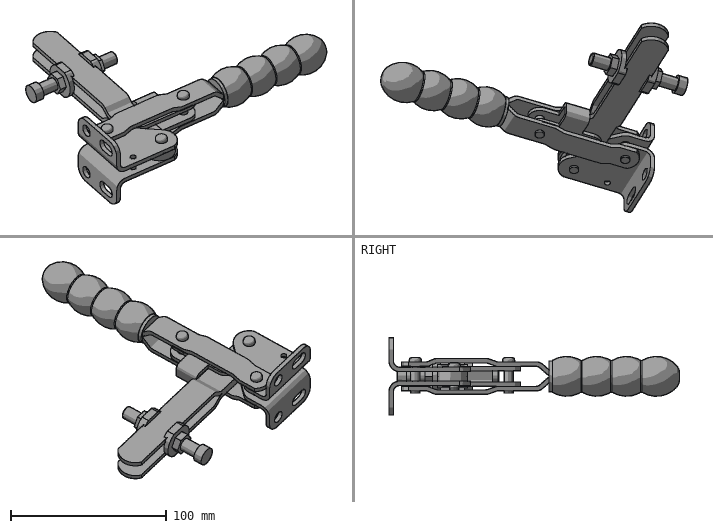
import cadquery as cq
import math


lever_sheet = 3.0
link_sheet = 2.8
base_sheet = 3.0
arm_sheet = 3.0
base_inner = arm_sheet
base_outer = base_inner + base_sheet
link_inner = 3.5
link_outer = link_inner + link_sheet
strap_inner = link_outer
strap_outer = strap_inner + lever_sheet

rivet_r = 3.0
rivet_head_r = 4.0
rivet_head_height = 2.8
rivet_head_round = 1.9
rivet_tail_height = 1.5
lever_pivot = (0, 17.0)
arm_pivot = (25.0, 42.0)
link_pivot = (0, 77.0)
link_arm_pivot = (0, arm_pivot[1])
arm_pin_half_length = 8.6

lever_half_width = 8.2
lever_end_y = 8.0
lever_end_sagitta = 4.5
bulge_height = 2.2
bulge_lower_foot = 24.9
bulge_lower_top = 30.1
bulge_upper_top = 63.2
bulge_upper_foot = 69.5
strap_taper_start = 96.6
strap_taper_length = 7.1
lever_bend_r = 4.7
tang_length = 28.0
grip_start = 102.8
grip_top = 187.0
collar_r = 10.0
collar_length = 2.2
ball_count = 4
ball_r = 12.9
ball_pitch = 19.3
valley_r = 10.3
valley_width = 1.0
grip_top_round = 6.5

base_left = -lever_half_width
base_right = 34.8
base_depth = 50.0
base_half_depth = base_depth / 2
base_bend_r = 4.0
base_corner_r = 7.9
arm_lug_r = 10.3
lever_lug_r = lever_half_width
mount_hole_x = 1.0
mount_slot_x = 22.8
mount_hole_z = 17.0
mount_hole_d = 7.9
mount_slot_length = 13.6
side_hole = (29.0, 17.0)
side_hole_d = 3.7

arm_left = -108.2
arm_right = 34.8
arm_y = 41.0
arm_half_width = 9.5
arm_tip_sagitta = 5.2
arm_pivot_end_sagitta = 6.5
arm_gap_half = 4.5
arm_outer = arm_gap_half + arm_sheet
arm_taper_start = -25.0
arm_taper_end = -19.3
arm_bend_r = 5.2

link_half_width = 7.7
link_stop_x = -20.0
link_stop_top = 66.7
link_bend_r = 2.5

spindle_x = -68.0
spindle_r = 4.3
spindle_top = 70.7
spindle_chamfer = 0.5
foot_bottom = 5.2
foot_top = 11.2
foot_r = 6.0
nut_across_corners = 14.2
nut_offset = 17.5
washer_offset = 12.9
washer_lip_offset = 7.7
washer_r = 11.2
washer_half_height = 10.1


def direction(a, b):
    """Unit vector from point a to point b."""
    length = math.dist(a, b)
    return (b[0] - a[0]) / length, (b[1] - a[1]) / length


def shifted(point, vector, distance):
    return point[0] + vector[0] * distance, point[1] + vector[1] * distance


def left_of(vector):
    return -vector[1], vector[0]


def sheet_face(path, offset, bend_r):
    """One face of a bent sheet: its start, its bends as (start, middle, end), and its end.

    The face lies the given offset to the left of the centre line.
    """
    bends = []
    for before, corner, after in zip(path, path[1:], path[2:]):
        way_in = direction(before, corner)
        way_out = direction(corner, after)
        cross = way_in[0] * way_out[1] - way_in[1] * way_out[0]
        dot = way_in[0] * way_out[0] + way_in[1] * way_out[1]
        turn = math.atan2(cross, dot)
        setback = bend_r * math.tan(abs(turn) / 2)
        centre_side = math.copysign(1, turn)
        centre = shifted(shifted(corner, way_in, -setback), left_of(way_in), centre_side * bend_r)
        to_face = offset - centre_side * bend_r
        bend_start = shifted(centre, left_of(way_in), to_face)
        bend_middle = shifted(centre, direction(centre, corner), abs(to_face))
        bend_end = shifted(centre, left_of(way_out), to_face)
        bends.append((bend_start, bend_middle, bend_end))
    start = shifted(path[0], left_of(direction(path[0], path[1])), offset)
    end = shifted(path[-1], left_of(direction(path[-2], path[-1])), offset)
    return start, bends, end


def bent_strip(plane, path, thickness, bend_r, width):
    """Sheet bent along a centre line, with its width centred on the sketch plane."""
    start, bends, end = sheet_face(path, thickness / 2, bend_r)
    far_start, far_bends, far_end = sheet_face(path, -thickness / 2, bend_r)
    outline = cq.Workplane(plane).moveTo(*start)
    for bend_start, bend_middle, bend_end in bends:
        outline = outline.lineTo(*bend_start).threePointArc(bend_middle, bend_end)
    outline = outline.lineTo(*end).lineTo(*far_end)
    for bend_start, bend_middle, bend_end in reversed(far_bends):
        outline = outline.lineTo(*bend_end).threePointArc(bend_middle, bend_start)
    return outline.lineTo(*far_start).close().extrude(width / 2, both=True)


def with_mirror(half):
    """The half joined to its mirror image below Z = 0."""
    return half.union(half.mirror("XY"))


def z_cylinder(point, radius, bottom, top):
    return cq.Workplane("XY", origin=(0, 0, bottom)).center(*point).circle(radius).extrude(top - bottom)


def y_cylinder(radius, bottom, top):
    """Cylinder on the spindle axis."""
    plane = cq.Workplane("XZ", origin=(spindle_x, bottom, 0))
    return plane.circle(radius).extrude(bottom - top)


def rivet(point, seat):
    """Rivet whose head and tail bear on faces at +seat and -seat."""
    shank = z_cylinder(point, rivet_r, -seat - rivet_tail_height, seat)
    head = z_cylinder(point, rivet_head_r, seat, seat + rivet_head_height)
    return shank.union(head.faces(">Z").edges().fillet(rivet_head_round))


def through_hole(point, radius):
    return z_cylinder(point, radius, -base_half_depth, base_half_depth)


def make_base():
    """Two angle plates, back to back, joined by the lever and arm rivets."""
    plate_z = base_inner + base_sheet / 2
    foot_y = base_sheet / 2
    width = base_right - base_left
    plate_path = [(arm_pivot[1] + arm_lug_r, plate_z), (foot_y, plate_z), (foot_y, base_half_depth)]
    middle = cq.Plane(origin=((base_left + base_right) / 2, 0, 0), xDir=(0, 1, 0), normal=(1, 0, 0))
    plate = bent_strip(middle, plate_path, base_sheet, base_bend_r + base_sheet / 2, width)

    rise = math.atan2(arm_pivot[1] - lever_pivot[1], arm_pivot[0] - lever_pivot[0])
    slope = rise + math.asin((arm_lug_r - lever_lug_r) / math.dist(lever_pivot, arm_pivot))
    tangent_angle = slope + math.pi / 2
    mid_angle = (math.pi + tangent_angle) / 2
    lever_lug_middle = shifted(lever_pivot, (math.cos(mid_angle), math.sin(mid_angle)), lever_lug_r)
    outward = (math.cos(tangent_angle), math.sin(tangent_angle))
    lever_lug_end = shifted(lever_pivot, outward, lever_lug_r)
    arm_lug_start = shifted(arm_pivot, outward, arm_lug_r)
    arm_lug_top = (arm_pivot[0], arm_pivot[1] + arm_lug_r)
    edge_reach = base_right - arm_pivot[0]
    arm_lug_end_y = arm_pivot[1] + math.sqrt(arm_lug_r**2 - edge_reach**2)
    outline = (
        cq.Workplane("XY")
        .moveTo(base_left, 0)
        .lineTo(base_left, lever_pivot[1])
        .threePointArc(lever_lug_middle, lever_lug_end)
        .lineTo(*arm_lug_start)
        .threePointArc(arm_lug_top, (base_right, arm_lug_end_y))
        .lineTo(base_right, 0)
        .close()
        .extrude(base_half_depth)
    )
    plate = plate.intersect(outline)
    plate = plate.edges("|Y").edges(">Z").fillet(base_corner_r)

    mounting = cq.Workplane("XZ").center(0, mount_hole_z)
    holes = mounting.center(mount_hole_x, 0).circle(mount_hole_d / 2).extrude(-base_sheet)
    slots = mounting.center(mount_slot_x, 0).slot2D(mount_slot_length, mount_hole_d).extrude(-base_sheet)
    plate = plate.cut(holes).cut(slots).cut(through_hole(side_hole, side_hole_d / 2))
    rivets = rivet(lever_pivot, strap_outer).union(rivet(arm_pivot, base_outer))
    return with_mirror(plate).union(rivets)


def make_lever():
    """Two mirrored straps that bulge around the link pin and join as a tang inside the grip."""
    strap_z = strap_inner + lever_sheet / 2
    bulge_z = strap_z + bulge_height
    tang_z = lever_sheet / 2
    path = [
        (lever_end_y, strap_z),
        (bulge_lower_foot, strap_z),
        (bulge_lower_top, bulge_z),
        (bulge_upper_top, bulge_z),
        (bulge_upper_foot, strap_z),
        (strap_taper_start, strap_z),
        (strap_taper_start + strap_taper_length, tang_z),
        (grip_start + tang_length, tang_z),
    ]
    strap = bent_strip("YZ", path, lever_sheet, lever_bend_r, 2 * lever_half_width)
    end_corner_y = lever_end_y + lever_end_sagitta
    outline = (
        cq.Workplane("XY")
        .moveTo(-lever_half_width, end_corner_y)
        .threePointArc((0, lever_end_y), (lever_half_width, end_corner_y))
        .lineTo(lever_half_width, grip_top)
        .lineTo(-lever_half_width, grip_top)
        .close()
        .extrude(base_half_depth)
    )
    lever = with_mirror(strap.intersect(outline))
    for point in (lever_pivot, link_pivot):
        lever = lever.cut(through_hole(point, rivet_r))
    return lever


def make_grip(lever):
    """Row of balls turned about the lever axis, with a socket that fits the tang."""
    collar_end = grip_start + collar_length
    arc_half = (ball_pitch - valley_width) / 2
    ball_rise = ball_r - valley_r
    arc_r = (arc_half**2 + ball_rise**2) / (2 * ball_rise)

    profile = cq.Workplane("XY").moveTo(0, grip_start).lineTo(collar_r, grip_start)
    profile = profile.lineTo(collar_r, collar_end).lineTo(valley_r, collar_end)
    for index in range(ball_count - 1):
        start_y = collar_end + index * ball_pitch
        profile = profile.threePointArc((ball_r, start_y + arc_half), (valley_r, start_y + 2 * arc_half))
        profile = profile.lineTo(valley_r, start_y + ball_pitch)
    last_ball_y = collar_end + (ball_count - 1) * ball_pitch + arc_half
    top_r = ball_r - arc_r + math.sqrt(arc_r**2 - (grip_top - last_ball_y) ** 2)
    profile = profile.threePointArc((ball_r, last_ball_y), (top_r, grip_top))
    grip = profile.lineTo(0, grip_top).close().revolve(360, (0, 0), (0, 1))
    grip = grip.faces(">Y").edges().fillet(grip_top_round)
    return grip.cut(lever)


def make_arm():
    """Two mirrored plates, spread around the spindle and pressed together at the pivots."""
    flat_z = arm_sheet / 2
    spread_z = arm_gap_half + arm_sheet / 2
    path = [
        (arm_left, spread_z),
        (arm_taper_start, spread_z),
        (arm_taper_end, flat_z),
        (arm_right, flat_z),
    ]
    plane = cq.Plane(origin=(0, arm_y, 0), xDir=(1, 0, 0), normal=(0, -1, 0))
    plate = bent_strip(plane, path, arm_sheet, arm_bend_r, 2 * arm_half_width)
    bottom = arm_y - arm_half_width
    top = arm_y + arm_half_width
    outline = (
        cq.Workplane("XY")
        .moveTo(arm_left + arm_tip_sagitta, bottom)
        .lineTo(arm_right - arm_pivot_end_sagitta, bottom)
        .threePointArc((arm_right, arm_y), (arm_right - arm_pivot_end_sagitta, top))
        .lineTo(arm_left + arm_tip_sagitta, top)
        .threePointArc((arm_left, arm_y), (arm_left + arm_tip_sagitta, bottom))
        .close()
        .extrude(arm_outer)
    )
    arm = with_mirror(plate.intersect(outline))
    for point in (arm_pivot, link_arm_pivot):
        arm = arm.cut(through_hole(point, rivet_r))
    return arm


def make_link():
    """Channel with two round-ended cheeks and a stop web, joined to its rivet and its arm pin."""
    cheek_middle_y = (link_pivot[1] + link_arm_pivot[1]) / 2
    cheek_length = link_pivot[1] - link_arm_pivot[1] + 2 * link_half_width
    cheek = (
        cq.Workplane("XY", origin=(0, cheek_middle_y, link_inner))
        .slot2D(cheek_length, 2 * link_half_width, 90)
        .extrude(link_sheet)
    )
    stop_bottom = arm_y + arm_half_width
    cheek_z = link_inner + link_sheet / 2
    web_x = link_stop_x + link_sheet / 2
    path = [(0, cheek_z), (web_x, cheek_z), (web_x, -cheek_z), (0, -cheek_z)]
    plane = cq.Plane(
        origin=(0, (stop_bottom + link_stop_top) / 2, 0), xDir=(1, 0, 0), normal=(0, -1, 0)
    )
    stop = bent_strip(plane, path, link_sheet, link_bend_r, link_stop_top - stop_bottom)
    arm_pin = z_cylinder(link_arm_pivot, rivet_r, -arm_pin_half_length, arm_pin_half_length)
    return with_mirror(cheek).union(stop).union(rivet(link_pivot, strap_outer)).union(arm_pin)


def make_spindle():
    """Plain rod with a foot and the two nuts that clamp the arm."""
    rod = y_cylinder(spindle_r, foot_top, spindle_top).faces(">Y").chamfer(spindle_chamfer)
    spindle = rod.union(y_cylinder(foot_r, foot_bottom, foot_top))
    nut_height = nut_offset - washer_offset
    for nut_bottom in (arm_y - nut_offset, arm_y + washer_offset):
        nut = cq.Workplane("XZ", origin=(spindle_x, nut_bottom, 0))
        spindle = spindle.union(nut.polygon(6, nut_across_corners).extrude(-nut_height))
    return spindle


def make_washer(side):
    """Flanged washer on the side (+1 or -1) of the arm, with lips that hold both arm plates."""
    near, far = sorted((arm_y + side * washer_lip_offset, arm_y + side * washer_offset))
    disc = y_cylinder(washer_r, near, far)
    flats = cq.Workplane("XY", origin=(spindle_x, arm_y, 0)).box(
        2 * washer_r, 2 * washer_offset, 2 * washer_half_height
    )
    arm_slot = cq.Workplane("XY", origin=(spindle_x, arm_y, 0)).box(
        2 * washer_r, 2 * arm_half_width, 2 * arm_outer
    )
    return disc.intersect(flats).cut(arm_slot).cut(y_cylinder(spindle_r, near, far))


base = make_base()
lever = make_lever()
grip = make_grip(lever)
arm = make_arm()
link = make_link()
spindle = make_spindle()
washers = [make_washer(side) for side in (1, -1)]

bodies = [base, lever, grip, arm, link, spindle, *washers]
result = cq.Compound.makeCompound([body.solids().val() for body in bodies])